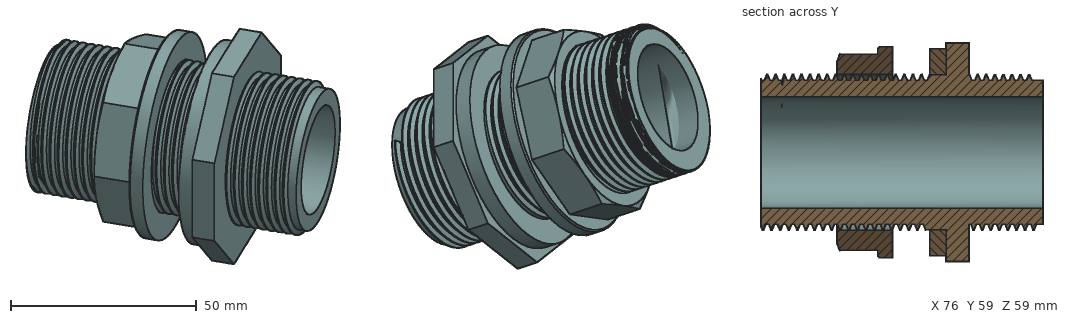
import cadquery as cq
import math


tube_length = 76.0
bore_radius = 15.0

pitch = 2.31
root_radius = 19.45
crest_radius = 21.0
crest_width = 0.3
root_width = 0.75
thread_margin = 0.2

groove_turns = 20
groove_end_x = 45.0
groove_end_angle = 176.5

ridge_turns = 9
ridge_end_x = 74.0
ridge_end_angle = 0.0

collar_flats = 59.0
collar_x = 49.85
collar_end_x = 56.1

gasket_radius = 28.0
gasket_thickness = 4.4
gasket_x = collar_x - gasket_thickness

nut_flats = 49.0
nut_x = 20.45
nut_length = 11.0
nut_chamfer_length = 0.75
flange_radius = 28.5
flange_thickness = 4.0
flange_chamfer = 0.45

OCTAGON_SIDES = 8


def cylinder(radius, start_x, end_x):
    """Solid cylinder on the X axis."""
    return cq.Workplane("YZ", origin=(start_x, 0, 0)).circle(radius).extrude(end_x - start_x)


def corner_radius(flats):
    """Distance from the centre to a corner of an octagon of the given width across flats."""
    return flats / 2 / math.cos(math.pi / OCTAGON_SIDES)


def octagon(flats, start_x, end_x, turn):
    """Octagonal prism on the X axis; with no turn it has a corner on +Y."""
    prism = (
        cq.Workplane("YZ", origin=(start_x, 0, 0))
        .polygon(OCTAGON_SIDES, 2 * corner_radius(flats))
        .extrude(end_x - start_x)
    )
    return prism.rotate((0, 0, 0), (1, 0, 0), turn)


def helical_bar(inner_radius, inner_width, outer_radius, outer_width, turns, end_x, end_angle):
    """Trapezoidal bar wound right-handed about X, ending at the given place and angle."""
    length = turns * pitch
    path = cq.Wire.makeHelix(pitch, length, inner_radius)
    bar = (
        cq.Workplane("XZ")
        .polyline([
            (inner_radius, -inner_width / 2),
            (outer_radius, -outer_width / 2),
            (outer_radius, outer_width / 2),
            (inner_radius, inner_width / 2),
        ])
        .close()
        .sweep(cq.Workplane(obj=path), isFrenet=True)
    )
    quarter_turn = 90
    bar = bar.rotate((0, 0, 0), (0, 1, 0), quarter_turn)
    bar = bar.rotate((0, 0, 0), (1, 0, 0), quarter_turn + end_angle)
    return bar.translate((end_x - length, 0, 0))


def thread_groove():
    """Cutter for the groove, reaching past the crest with its flanks continued."""
    depth = crest_radius - root_radius
    crest_gap = pitch - crest_width
    reach = 1 + thread_margin / depth
    outer_width = root_width + (crest_gap - root_width) * reach
    return helical_bar(
        root_radius, root_width, crest_radius + thread_margin, outer_width,
        groove_turns, groove_end_x, groove_end_angle,
    )


def thread_ridge():
    """Raised ridge, sunk into the root cylinder with its flanks continued."""
    depth = crest_radius - root_radius
    base_width = pitch - root_width
    reach = 1 + thread_margin / depth
    inner_width = crest_width + (base_width - crest_width) * reach
    return helical_bar(
        root_radius - thread_margin, inner_width, crest_radius, crest_width,
        ridge_turns, ridge_end_x, ridge_end_angle,
    )


def make_fitting():
    nut_end = cylinder(crest_radius, 0, collar_x).cut(thread_groove())
    plain_end = cylinder(root_radius, collar_x, tube_length).union(thread_ridge())
    half_side = 180 / OCTAGON_SIDES
    collar = octagon(collar_flats, collar_x, collar_end_x, half_side)
    body = plain_end.union(collar).union(nut_end)
    return body.cut(cylinder(bore_radius, 0, tube_length))


def make_gasket():
    ring = cylinder(gasket_radius, gasket_x, collar_x)
    return ring.cut(cylinder(crest_radius, gasket_x, collar_x))


def make_nut():
    flange_x = nut_x + nut_length
    flange_end_x = flange_x + flange_thickness
    corner = corner_radius(nut_flats)
    cone = (
        cq.Workplane("XY")
        .polyline([
            (nut_x, 0),
            (nut_x, nut_flats / 2),
            (nut_x + nut_chamfer_length, corner),
            (flange_x, corner),
            (flange_x, 0),
        ])
        .close()
        .revolve(360, (0, 0, 0), (1, 0, 0))
    )
    grip = octagon(nut_flats, nut_x, flange_x, 0).intersect(cone)
    flange = cylinder(flange_radius, flange_x, flange_end_x)
    flange = flange.faces("<X").chamfer(flange_chamfer)
    hole = cylinder(crest_radius, nut_x, flange_end_x)
    return grip.union(flange).cut(hole)


fitting = make_fitting()
gasket = make_gasket()
nut = make_nut()

result = cq.Compound.makeCompound([fitting.solids().val(), gasket.solids().val(), nut.solids().val()])